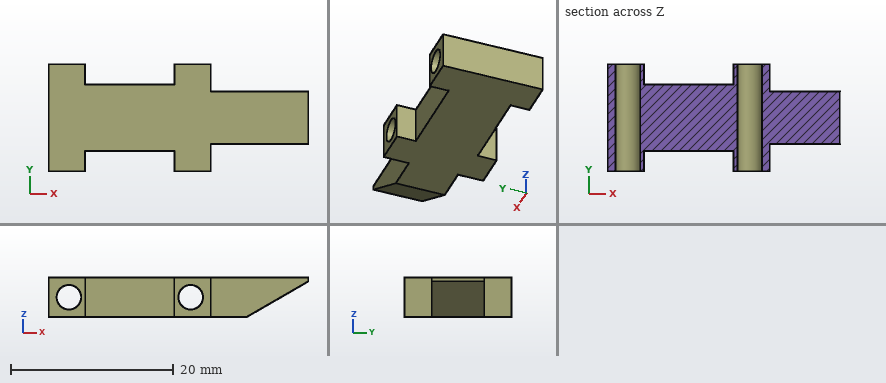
import cadquery as cq
import math

length = 32.0
width = 13.2
thickness = 4.88

body_width = 8.2
tail_width = 6.5
crossbar_length = 4.5
crossbars_end = 20.0
crossbar_starts = (0.0, crossbars_end - crossbar_length)

hole_diameter = 3.0
hole_inset = 2.5
hole_positions = (hole_inset, crossbars_end - hole_inset)

tip_thickness = 0.5
ramp_angle = math.radians(30)
ramp_rise = thickness - tip_thickness
ramp_run = ramp_rise / math.tan(ramp_angle)


def block(x_start, x_end, block_width):
    """Full-thickness block between two X positions, centred on Y, resting on Z = 0."""
    return (
        cq.Workplane("XY")
        .box(x_end - x_start, block_width, thickness, centered=(False, True, False))
        .translate((x_start, 0, 0))
    )


def cross_hole(x):
    """Cylinder along Y, at mid thickness, spanning the full width."""
    return (
        cq.Workplane("XZ", origin=(x, 0, thickness / 2))
        .circle(hole_diameter / 2)
        .extrude(width / 2, both=True)
    )


def tail_ramp():
    """Triangular wedge removed from under the end of the tail."""
    return (
        cq.Workplane("XZ")
        .moveTo(length - ramp_run, 0)
        .lineTo(length, 0)
        .lineTo(length, ramp_rise)
        .close()
        .extrude(width / 2, both=True)
    )


result = block(0, crossbars_end, body_width)
result = result.union(block(crossbars_end, length, tail_width))

for start in crossbar_starts:
    result = result.union(block(start, start + crossbar_length, width))

result = result.clean()
for position in hole_positions:
    result = result.cut(cross_hole(position))
result = result.cut(tail_ramp())